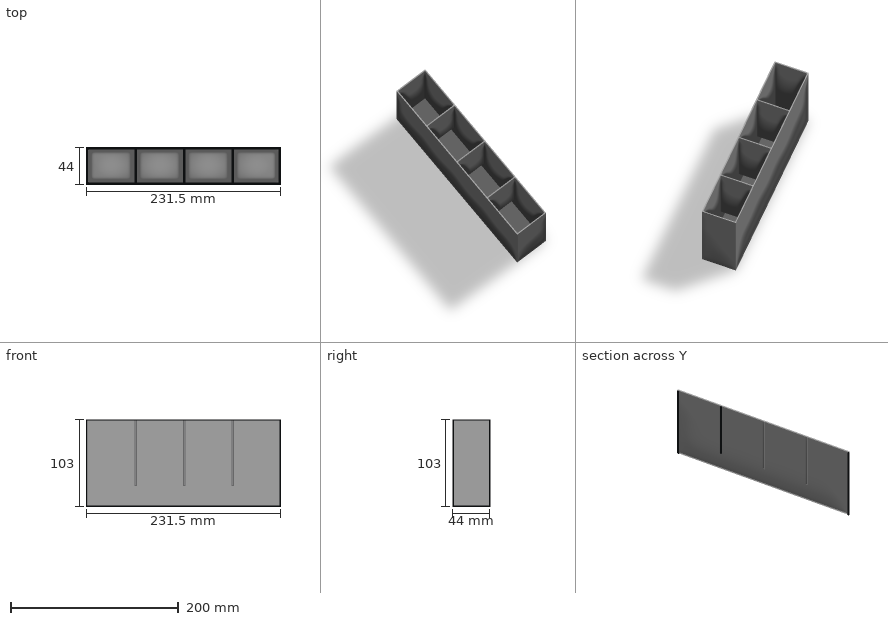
import cadquery as cq

LENGTH = 231.5
WIDTH = 44.0
HEIGHT = 103.0
WALL = 1.57
FLOOR = WALL
OUTER_RADIUS = 0.5

COMPARTMENTS = 4
PANEL_THICKNESS = 1.57
PANEL_HEIGHT = 78.2

INNER_RADIUS = 1.0
RIM_CHAMFER = 0.5

pitch = LENGTH / COMPARTMENTS
panel_bottom = HEIGHT - PANEL_HEIGHT
inner_width = WIDTH - 2 * WALL
left_end = -LENGTH / 2
inner_left = left_end + WALL
inner_right = LENGTH / 2 - WALL

panel_lefts = [left_end + index * pitch for index in range(1, COMPARTMENTS)]


def slab(x_start, x_end, width, z_start, z_end):
    """Upright block between two X and two Z positions, centred on Y."""
    return (
        cq.Workplane("XY", origin=((x_start + x_end) / 2, 0, z_start))
        .rect(x_end - x_start, width)
        .extrude(z_end - z_start)
    )


def make_block():
    """Solid outer block with rounded upright corners."""
    block = slab(left_end, LENGTH / 2, WIDTH, 0, HEIGHT)
    return block.edges("|Z").fillet(OUTER_RADIUS)


def set_in_panels(block):
    """Let the panels into slots, their ends flush with the long walls as faces of their own."""
    for x in panel_lefts:
        panel = slab(x, x + PANEL_THICKNESS, WIDTH, panel_bottom, HEIGHT)
        block = block.cut(panel, clean=False).union(panel, clean=False)
    return block


def cut_cavity(block, x_start, x_end, z_start, z_end):
    """Hollow out a space with rounded upright corners, keeping the panel end faces."""
    cavity = slab(x_start, x_end, inner_width, z_start, z_end)
    return block.cut(cavity.edges("|Z").fillet(INNER_RADIUS), clean=False)


def cut_compartments(block):
    """Four compartments between the panels, open at the top."""
    starts = [inner_left] + [x + PANEL_THICKNESS for x in panel_lefts]
    ends = panel_lefts + [inner_right]
    for x_start, x_end in zip(starts, ends):
        block = cut_cavity(block, x_start, x_end, panel_bottom, HEIGHT)
    return block


def chamfer_rim(body):
    """Bevel the inner edge of every compartment opening."""
    rim_edges = body.faces(">Z").edges(
        cq.selectors.BoxSelector(
            (inner_left - RIM_CHAMFER, -inner_width / 2 - RIM_CHAMFER, HEIGHT - RIM_CHAMFER),
            (inner_right + RIM_CHAMFER, inner_width / 2 + RIM_CHAMFER, HEIGHT + RIM_CHAMFER),
        )
    )
    return rim_edges.chamfer(RIM_CHAMFER)


body = cut_compartments(set_in_panels(make_block()))
body = cut_cavity(body, inner_left, inner_right, FLOOR, panel_bottom)
result = chamfer_rim(body).solids()